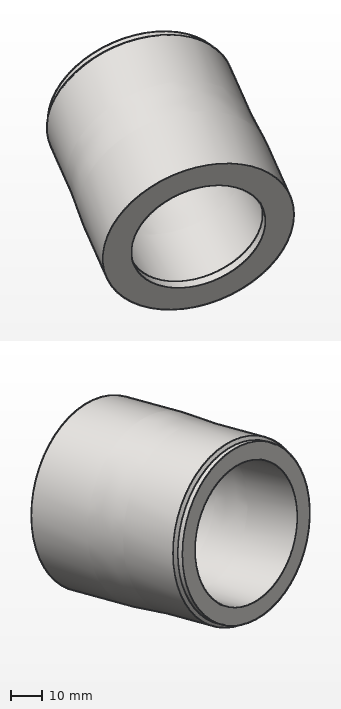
import cadquery as cq

length = 64.0
outer_diameter = 64.5

nose_diameter = 60.55
nose_length = 2.0
chamfer_length = 0.95
body_diameter = 63.0
taper_start = 24.65
taper_end = 39.5

entry_diameter = 48.5
chamber_diameter = 50.0
lip_diameter = 45.15
lip_thickness = 3.0
bore_taper_start = taper_start - lip_thickness
bore_taper_end = taper_end - lip_thickness
lip_face = length - lip_thickness


def turned(profile):
    """Revolve a closed (X, diameter) profile about the X axis."""
    points = [(x, diameter / 2) for x, diameter in profile]
    return cq.Workplane("XY").polyline(points).close().revolve(360, (0, 0, 0), (1, 0, 0))


outside = turned([
    (0, 0),
    (0, nose_diameter),
    (nose_length, nose_diameter),
    (nose_length + chamfer_length, body_diameter),
    (taper_start, body_diameter),
    (taper_end, outer_diameter),
    (length, outer_diameter),
    (length, 0),
])

bore = turned([
    (0, 0),
    (0, entry_diameter),
    (bore_taper_start, entry_diameter),
    (bore_taper_end, chamber_diameter),
    (lip_face, chamber_diameter),
    (lip_face, lip_diameter),
    (length, lip_diameter),
    (length, 0),
])

result = outside.cut(bore)